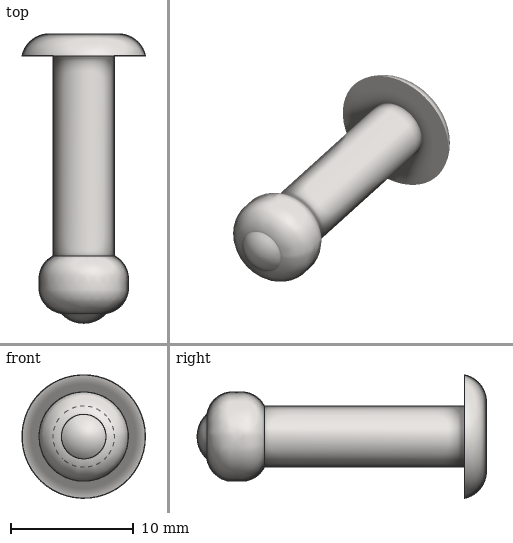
import cadquery as cq

total_length = 23.55
head_radius = 10.05 / 2
head_height = 1.8
head_flat_radius = 2.8
head_overhang = head_radius - head_flat_radius
head_round_radius = (head_overhang**2 + head_height**2) / (2 * head_height)
shaft_radius = 5.0 / 2

bulb_seam_radius = 3.63
bulb_back_length = 2.25
bulb_front_length = 2.43
bulb_back_round = 2.2
bulb_front_round = 2.15

tip_radius = 1.81
tip_height = 0.8

tip_end_y = head_height - total_length
bulb_front_y = tip_end_y + tip_height
bulb_seam_y = bulb_front_y + bulb_front_length
bulb_back_y = bulb_seam_y + bulb_back_length
tip_sphere_radius = (tip_radius**2 + tip_height**2) / (2 * tip_height)

half_profile = (
    cq.Workplane("XY")
    .moveTo(0, head_height)
    .lineTo(head_flat_radius, head_height)
    .radiusArc((head_radius, 0), head_round_radius)
    .lineTo(shaft_radius, 0)
    .lineTo(shaft_radius, bulb_back_y)
    .radiusArc((bulb_seam_radius, bulb_seam_y), bulb_back_round)
    .radiusArc((tip_radius, bulb_front_y), bulb_front_round)
    .radiusArc((0, tip_end_y), tip_sphere_radius)
    .close()
)

result = half_profile.revolve(360, (0, 0, 0), (0, 1, 0))